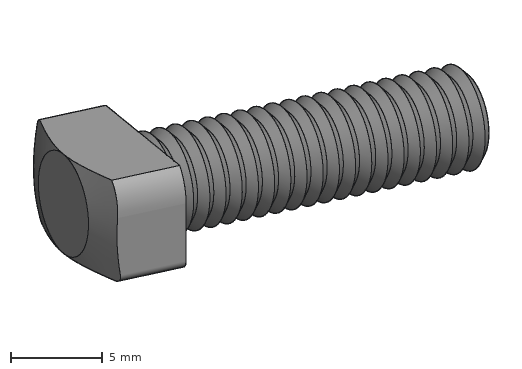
import cadquery as cq
import math

head_length = 10.0
head_width = 6.0
head_thickness = 5.0
turning_radius = 3.0
turning_rise = 2.0
corner_radius = 0.5
face_radius = 3.0
cone_angle = 20.0

shank_length = 20.0
pitch = 1.0
crest_radius = 3.0
thread_depth = pitch / 2

half_length = head_length / 2
half_width = head_width / 2


def circle_point(center, radius, angle):
    """Point on a circle at the given angle in degrees."""
    turn = math.radians(angle)
    return (center[0] + radius * math.cos(turn), center[1] + radius * math.sin(turn))


def head_outline():
    """Head outline in XZ, unchanged by a half turn about the bolt axis."""
    turning_center = (half_length - turning_radius, half_width - turning_rise)
    end_angle = math.degrees(math.asin(turning_rise / turning_radius))
    round_start = circle_point(turning_center, turning_radius, 0)
    round_middle = circle_point(turning_center, turning_radius, end_angle / 2)
    round_end = circle_point(turning_center, turning_radius, end_angle)

    corner_center = (corner_radius - half_length, half_width - corner_radius)
    corner_start = circle_point(corner_center, corner_radius, 90)
    corner_middle = circle_point(corner_center, corner_radius, 135)
    corner_end = circle_point(corner_center, corner_radius, 180)

    def opposite(point):
        return (-point[0], -point[1])

    return (
        cq.Workplane("XZ")
        .moveTo(*round_start)
        .threePointArc(round_middle, round_end)
        .lineTo(*corner_start)
        .threePointArc(corner_middle, corner_end)
        .lineTo(*opposite(round_start))
        .threePointArc(opposite(round_middle), opposite(round_end))
        .lineTo(*opposite(corner_start))
        .threePointArc(opposite(corner_middle), opposite(corner_end))
        .close()
    )


def revolve_about_bolt_axis(profile):
    """Solid of revolution about Y from a closed (radius, Y) profile."""
    points = [(y, radius) for radius, y in profile]
    return cq.Workplane("YZ").polyline(points).close().revolve(360, (0, 0), (1, 0))


def make_head():
    """Head block trimmed by a cone that leaves a flat disc on the end face."""
    block = head_outline().extrude(head_thickness)
    envelope_radius = math.hypot(half_length, half_width)
    cone_height = (envelope_radius - face_radius) * math.tan(math.radians(cone_angle))
    envelope = revolve_about_bolt_axis([
        (0, 0),
        (envelope_radius, 0),
        (envelope_radius, cone_height - head_thickness),
        (face_radius, -head_thickness),
        (0, -head_thickness),
    ])
    return block.intersect(envelope)


def make_shank():
    """Ringed shank that starts and ends on a root."""
    root_radius = crest_radius - thread_depth
    profile = [(0, 0), (root_radius, 0)]
    for ring in range(round(shank_length / pitch)):
        profile.append((crest_radius, (ring + 0.5) * pitch))
        profile.append((root_radius, (ring + 1) * pitch))
    profile.append((0, shank_length))
    return revolve_about_bolt_axis(profile)


result = make_head().union(make_shank())